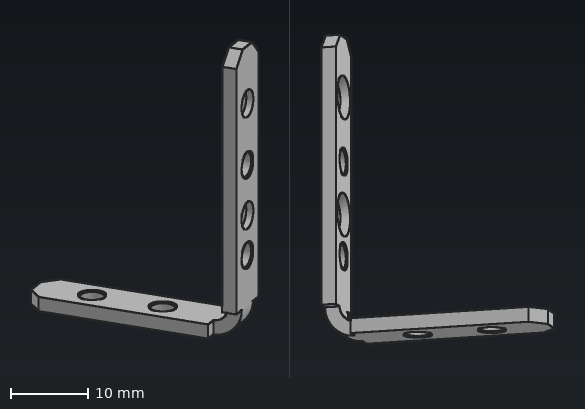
import cadquery as cq

LENGTH_X = 30.0
WIDTH = 7.0
HEIGHT_Z = 40.0
THICKNESS = 2.0

INNER_BEND_RADIUS = 2.0
OUTER_BEND_RADIUS = INNER_BEND_RADIUS + THICKNESS
NECK_WIDTH = 3.6

TIP_CHAMFER = 2.0

HOLE_DIAMETER = 3.24
HOLE_RIM_CHAMFER = 0.2
HOLE_RIM_DIAMETER = HOLE_DIAMETER + 2 * HOLE_RIM_CHAMFER
BASE_HOLES_X = (8.0, 18.0)
UPRIGHT_HOLES_Z = (11.0, 23.5)

SCREW_HOLE_DIAMETER = 3.7
COUNTERSINK_DIAMETER = 5.7
COUNTERSUNK_HOLES_Z = (16.5, 32.0)

CONE_ANGLE = 90.0

BEND_START_X = LENGTH_X - OUTER_BEND_RADIUS
UPRIGHT_INNER_X = LENGTH_X - THICKNESS


def base_leg():
    """Horizontal leg on the XY plane, its free end at X = 0."""
    return (
        cq.Workplane("XY")
        .box(BEND_START_X, WIDTH, THICKNESS, centered=(False, True, False))
        .edges("|Z and <X")
        .chamfer(TIP_CHAMFER)
    )


def upright_leg():
    """Vertical leg above the bend, its free end at the top."""
    return (
        cq.Workplane("XY", origin=(UPRIGHT_INNER_X, 0, OUTER_BEND_RADIUS))
        .box(THICKNESS, WIDTH, HEIGHT_Z - OUTER_BEND_RADIUS, centered=(False, True, False))
        .edges("|X and >Z")
        .chamfer(TIP_CHAMFER)
    )


def bend_neck():
    """Quarter ring that joins the two legs."""
    ring = (
        cq.Workplane("XZ", origin=(BEND_START_X, NECK_WIDTH / 2, OUTER_BEND_RADIUS))
        .circle(OUTER_BEND_RADIUS)
        .circle(INNER_BEND_RADIUS)
        .extrude(NECK_WIDTH)
    )
    quarter = cq.Workplane("XY", origin=(BEND_START_X, 0, 0)).box(
        OUTER_BEND_RADIUS, NECK_WIDTH, OUTER_BEND_RADIUS, centered=(False, True, False)
    )
    return ring.intersect(quarter)


def drill(body, centers, normal, diameter, cone_diameter):
    """Cut holes through one leg, each with a cone sunk from the face with this outward normal."""
    for center in centers:
        face = cq.Workplane(cq.Plane(origin=center, xDir=(0, 1, 0), normal=normal))
        body = body.copyWorkplane(face).cskHole(diameter, cone_diameter, CONE_ANGLE, depth=THICKNESS)
    return body


def drill_base_holes(body):
    """Plain holes in the base leg, with both rims chamfered."""
    top_centers = [(x, 0, THICKNESS) for x in BASE_HOLES_X]
    bottom_centers = [(x, 0, 0) for x in BASE_HOLES_X]
    body = drill(body, top_centers, (0, 0, 1), HOLE_DIAMETER, HOLE_RIM_DIAMETER)
    return drill(body, bottom_centers, (0, 0, -1), HOLE_DIAMETER, HOLE_RIM_DIAMETER)


def drill_upright_holes(body):
    """Plain holes in the upright leg, with both rims chamfered."""
    inner_centers = [(UPRIGHT_INNER_X, 0, z) for z in UPRIGHT_HOLES_Z]
    outer_centers = [(LENGTH_X, 0, z) for z in UPRIGHT_HOLES_Z]
    body = drill(body, inner_centers, (-1, 0, 0), HOLE_DIAMETER, HOLE_RIM_DIAMETER)
    return drill(body, outer_centers, (1, 0, 0), HOLE_DIAMETER, HOLE_RIM_DIAMETER)


def drill_screw_holes(body):
    """Countersunk screw holes in the upright leg."""
    centers = [(UPRIGHT_INNER_X, 0, z) for z in COUNTERSUNK_HOLES_Z]
    return drill(body, centers, (-1, 0, 0), SCREW_HOLE_DIAMETER, COUNTERSINK_DIAMETER)


bracket = base_leg().union(upright_leg()).union(bend_neck())
bracket = drill_base_holes(bracket)
bracket = drill_upright_holes(bracket)
result = drill_screw_holes(bracket)